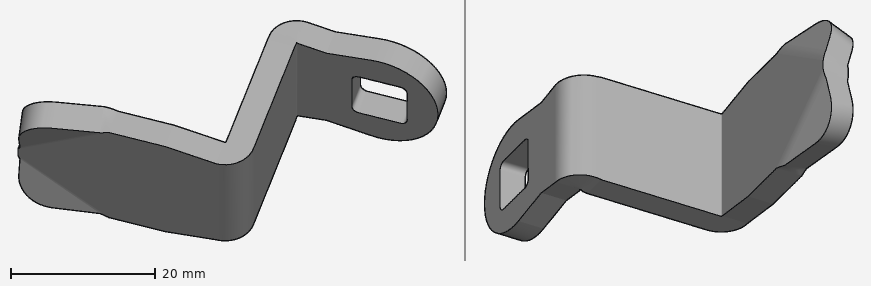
import cadquery as cq
import math

thickness = 4.0
total_offset = 28.0
bend_radius = 0.15
right_angle = 90
taper_angle = math.radians(8)

eye_radius = 8.5
hole_side = 8.0
hole_corner_radius = 1.0
waist_x = -7.7

web_right_x = -12.0
web_left_x = web_right_x - thickness
web_half_width = 8.5
web_taper_length = 0.8

plate_half_width = 9.5
plate_taper_x = -23.5
plate_left_x = -44.96
nose_half_width = 0.7
fold_angle = math.radians(33.5)
wing_angle = 17.9
wing_bend_radius = 1.0
wing_bend_length = 0.87
wing_corner_radius = 5.0

upper_front_y = total_offset - thickness
upper_bend_x = web_right_x + bend_radius
upper_bend_y = upper_front_y - bend_radius
lower_bend_x = web_left_x - bend_radius
lower_bend_y = thickness + bend_radius


def eye_tangent_half_width(x):
    """Half width at x on the tapered edge that runs tangent into the eye."""
    return (eye_radius + x * math.sin(taper_angle)) / math.cos(taper_angle)


waist_half_width = eye_tangent_half_width(waist_x)
upper_bend_half_width = waist_half_width + (waist_x - upper_bend_x) * math.tan(taper_angle)
web_top_half_width = web_half_width - web_taper_length * math.tan(taper_angle)
fold_end_x = plate_left_x + (plate_half_width - nose_half_width) / math.tan(fold_angle)


def prism(outline):
    """Sheet of full thickness behind an outline drawn in an XZ plane."""
    return outline.close().extrude(-thickness)


def bend(inner_radius, degrees, start_ends, end_ends):
    """Bend about the local Z axis, starting along local X.

    The (low, high) Z limits change evenly with the angle from start_ends to end_ends.
    """
    outer_radius = inner_radius + thickness
    steps = 8

    def edge_curve(radius, z_start, z_end):
        points = []
        for step in range(steps + 1):
            part = step / steps
            angle = math.radians(degrees * part)
            z = z_start + (z_end - z_start) * part
            points.append(cq.Vector(radius * math.cos(angle), radius * math.sin(angle), z))
        return cq.Edge.makeSpline(points)

    low, high = zip(start_ends, end_ends)
    rails = [
        edge_curve(inner_radius, *low),
        edge_curve(outer_radius, *low),
        edge_curve(outer_radius, *high),
        edge_curve(inner_radius, *high),
    ]
    walls = [cq.Face.makeRuledSurface(rails[i - 1], rails[i]) for i in range(len(rails))]
    caps = []
    for position in (0, 1):
        corners = [rail.positionAt(position) for rail in rails]
        caps.append(cq.Face.makeFromWires(cq.Wire.makePolygon(corners, close=True)))
    return cq.Solid.makeSolid(cq.Shell.makeShell(walls + caps)).fix()


def symmetric(half_width):
    """Low and high limits about the middle plane."""
    return (-half_width, half_width)


def upper_plate():
    tangent_x = -eye_radius * math.sin(taper_angle)
    tangent_z = eye_radius * math.cos(taper_angle)
    plate = prism(
        cq.Workplane("XZ", origin=(0, upper_front_y, 0))
        .moveTo(upper_bend_x, -upper_bend_half_width)
        .lineTo(waist_x, -waist_half_width)
        .lineTo(tangent_x, -tangent_z)
        .threePointArc((eye_radius, 0), (tangent_x, tangent_z))
        .lineTo(waist_x, waist_half_width)
        .lineTo(upper_bend_x, upper_bend_half_width)
    )
    hole = (
        cq.Workplane("XZ", origin=(0, upper_front_y, 0))
        .rect(hole_side, hole_side)
        .extrude(-thickness)
        .edges("|Y")
        .fillet(hole_corner_radius)
    )
    return plate.cut(hole)


def upper_bend():
    """Bend that narrows evenly from the web to the upper plate."""
    solid = bend(bend_radius, right_angle, symmetric(upper_bend_half_width), symmetric(web_top_half_width))
    return solid.moved(cq.Location(cq.Plane((upper_bend_x, upper_bend_y, 0), xDir=(0, 1, 0))))


def web():
    taper_y = upper_bend_y - web_taper_length
    return (
        cq.Workplane("YZ", origin=(web_left_x, 0, 0))
        .moveTo(lower_bend_y, -web_half_width)
        .lineTo(taper_y, -web_half_width)
        .lineTo(upper_bend_y, -web_top_half_width)
        .lineTo(upper_bend_y, web_top_half_width)
        .lineTo(taper_y, web_half_width)
        .lineTo(lower_bend_y, web_half_width)
        .close()
        .extrude(thickness)
    )


def lower_bend():
    solid = bend(bend_radius, right_angle, symmetric(web_half_width), symmetric(web_half_width))
    return solid.moved(cq.Location(cq.Plane((lower_bend_x, lower_bend_y, 0), xDir=(0, -1, 0))))


def lower_plate():
    upper_edge = [
        (lower_bend_x, web_half_width),
        (plate_taper_x, plate_half_width),
        (fold_end_x, plate_half_width),
        (plate_left_x, nose_half_width),
    ]
    lower_edge = [(x, -z) for x, z in reversed(upper_edge)]
    return prism(cq.Workplane("XZ").polyline(upper_edge + lower_edge))


def wing():
    """Upper wing with its bend; the flat blank is a rounded corner of the plate."""
    along_x = math.cos(fold_angle)
    along_z = math.sin(fold_angle)
    fold_length = (plate_half_width - nose_half_width) / along_z

    wing_low = wing_bend_length * math.tan(fold_angle)
    wing_high = fold_length - wing_bend_length / math.tan(fold_angle)

    axis_start = cq.Vector(plate_left_x, -wing_bend_radius, nose_half_width)
    axis_direction = cq.Vector(along_x, 0, along_z)
    fold_bend = bend(wing_bend_radius, wing_angle, (0, fold_length), (wing_low, wing_high))
    fold_bend = fold_bend.moved(
        cq.Location(cq.Plane(axis_start, xDir=(0, 1, 0), normal=axis_direction))
    )

    left_x = plate_left_x + wing_low * along_x
    low_z = nose_half_width + wing_low * along_z
    right_x = plate_left_x + wing_high * along_x
    top_z = nose_half_width + wing_high * along_z
    blank = prism(
        cq.Workplane("XZ").polyline([(left_x, low_z), (right_x, top_z), (left_x, top_z)])
    )
    corner = cq.selectors.NearestToPointSelector((left_x, thickness / 2, top_z))
    blank = blank.edges(corner).fillet(wing_corner_radius)
    leaf = blank.rotate(axis_start, axis_start + axis_direction, wing_angle)
    return leaf.union(cq.Workplane(fold_bend))


upper_wing = wing()
result = lower_plate()
for piece in (lower_bend(), web(), upper_bend(), upper_plate(), upper_wing, upper_wing.mirror("XY")):
    result = result.union(piece)